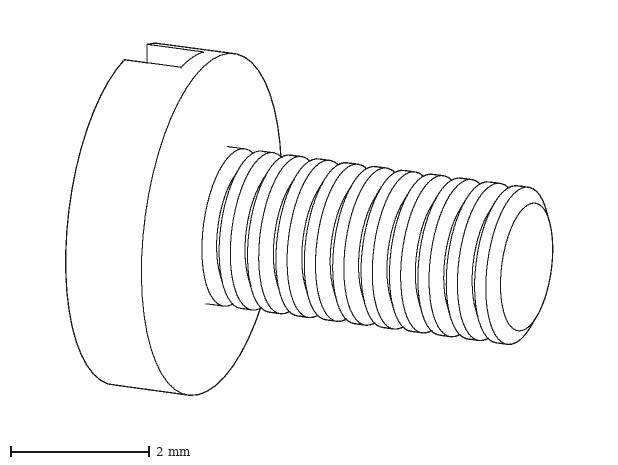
import cadquery as cq
import math

length = 6.2
head_diameter = 5.0
head_height = 1.2
shank_diameter = 2.3
neck_fillet = 0.09

slot_width = 0.8
slot_depth = 0.9

grooved_length = 4.5
groove_count = 10
groove_depth = 0.22
groove_width = 0.27

head_radius = head_diameter / 2
shank_radius = shank_diameter / 2
pitch = grooved_length / groove_count
root_radius = shank_radius - groove_depth
groove_half_width = groove_width / 2


def screw_body():
    """Revolve the head, neck fillet and grooved shank about the X axis."""
    fillet_end = head_height + neck_fillet
    fillet_top = shank_radius + neck_fillet
    arc_offset = neck_fillet * math.sqrt(0.5)
    profile = (
        cq.Workplane("XZ")
        .lineTo(0, head_radius)
        .lineTo(head_height, head_radius)
        .lineTo(head_height, fillet_top)
        .threePointArc(
            (fillet_end - arc_offset, fillet_top - arc_offset),
            (fillet_end, shank_radius),
        )
    )
    for grooves_left in range(groove_count, 0, -1):
        root_x = length - grooves_left * pitch
        profile = (
            profile.lineTo(root_x - groove_half_width, shank_radius)
            .lineTo(root_x, root_radius)
            .lineTo(root_x + groove_half_width, shank_radius)
        )
    profile = (
        profile.lineTo(length - groove_half_width, shank_radius)
        .lineTo(length, root_radius)
        .lineTo(length, 0)
        .close()
    )
    return profile.revolve(360, (0, 0, 0), (1, 0, 0))


def driver_slot():
    """Block that cuts the slot right across the head."""
    return cq.Workplane("XY").box(
        slot_depth, slot_width, head_diameter, centered=(False, True, True)
    )


result = screw_body().cut(driver_slot())